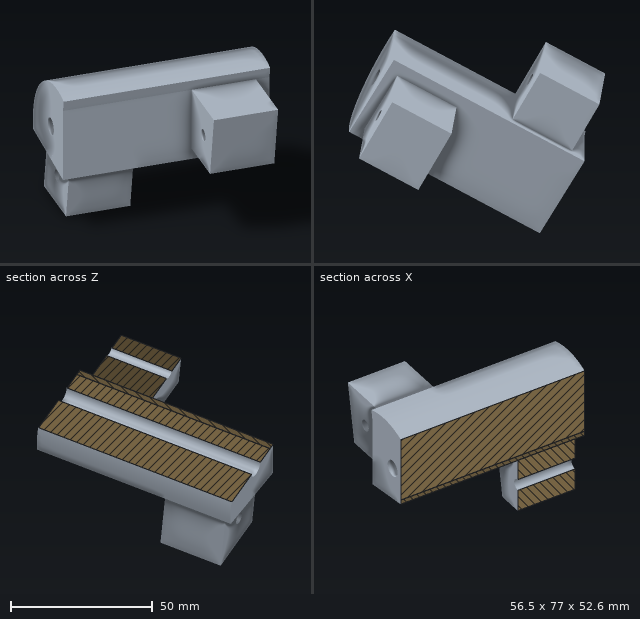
import cadquery as cq
import math

LENGTH = 77.0
TILT = math.radians(10.0)

SECTOR_RADIUS = 25.2
ARC_CENTRE_INSET = 3.8
MAIN_HOLE_INSET = 10.7
MAIN_HOLE_DIAMETER = 6.5

WEDGE_DROP = 4.1

BLOCK_SIDE = 23.95
BLOCK_HOLE_DIAMETER = 4.5
SIDE_HOLE_DISTANCE = 14.4
LOWER_HOLE_DISTANCE = 12.3
SIDE_BLOCK_END_GAP = 5.1
LOWER_BLOCK_END_GAP = 4.0

FRONT = -LENGTH / 2
BACK = LENGTH / 2
BLOCK_RUN = BLOCK_SIDE * math.sin(TILT)
BLOCK_RISE = BLOCK_SIDE * math.cos(TILT)


def place(side_distance, height):
    """XZ point at a perpendicular distance right of the tilted face, and a height above the corner."""
    return (side_distance / math.cos(TILT) + height * math.tan(TILT), height)


def plane_at(y):
    """XZ plane at the given Y; positive extrusion runs toward -Y."""
    return cq.Workplane(cq.Plane(origin=(0, y, 0), xDir=(1, 0, 0), normal=(0, -1, 0)))


def drill(body, centre, diameter):
    """Cut a hole along Y through the whole body."""
    return body.cut(plane_at(BACK).center(*centre).circle(diameter / 2).extrude(LENGTH))


ARC_CENTRE = place(-ARC_CENTRE_INSET, ARC_CENTRE_INSET)
ARC_REACH = math.sqrt(SECTOR_RADIUS**2 - ARC_CENTRE_INSET**2)
SECTOR_LEFT = (ARC_CENTRE[0] - ARC_REACH, 0)
SIDE_EDGE_LENGTH = ARC_REACH + ARC_CENTRE[0] * math.sin(TILT) + ARC_CENTRE[1] * math.cos(TILT)
SECTOR_TOP = (SIDE_EDGE_LENGTH * math.sin(TILT), SIDE_EDGE_LENGTH * math.cos(TILT))
ARC_MIDDLE = (
    ARC_CENTRE[0] - SECTOR_RADIUS * math.sqrt(0.5),
    ARC_CENTRE[1] + SECTOR_RADIUS * math.sqrt(0.5),
)


def make_sector():
    """Round-backed bar with two flat faces and a hole along its length."""
    body = (
        plane_at(BACK)
        .lineTo(*SECTOR_LEFT)
        .threePointArc(ARC_MIDDLE, SECTOR_TOP)
        .close()
        .extrude(LENGTH)
    )
    return drill(body, place(-MAIN_HOLE_INSET, MAIN_HOLE_INSET), MAIN_HOLE_DIAMETER)


def make_wedge():
    """Tapered angle piece under the two flat faces of the sector."""
    outline = [(0, 0), SECTOR_LEFT, (BLOCK_RUN, -WEDGE_DROP), (BLOCK_RUN, BLOCK_RISE)]
    return plane_at(BACK).polyline(outline).close().extrude(LENGTH)


def make_block(bottom_left, back_y, hole_centre, wedge):
    """Rhombic block with a hole along Y, trimmed where it meets the wedge."""
    x, z = bottom_left
    outline = [
        (x, z),
        (x + BLOCK_SIDE, z),
        (x + BLOCK_SIDE + BLOCK_RUN, z + BLOCK_RISE),
        (x + BLOCK_RUN, z + BLOCK_RISE),
    ]
    body = plane_at(back_y).polyline(outline).close().extrude(BLOCK_SIDE)
    return drill(body, hole_centre, BLOCK_HOLE_DIAMETER).cut(wedge)


sector = make_sector()
wedge = make_wedge()
block_placements = [
    ((0, 0), BACK - SIDE_BLOCK_END_GAP, place(SIDE_HOLE_DISTANCE, BLOCK_RISE / 2)),
    (
        (-BLOCK_SIDE - BLOCK_RUN, -BLOCK_RISE),
        FRONT + LOWER_BLOCK_END_GAP + BLOCK_SIDE,
        place(-BLOCK_RISE / 2, -LOWER_HOLE_DISTANCE),
    ),
]
blocks = [make_block(*placement, wedge) for placement in block_placements]

result = cq.Compound.makeCompound([sector.val(), wedge.val(), *[block.val() for block in blocks]])